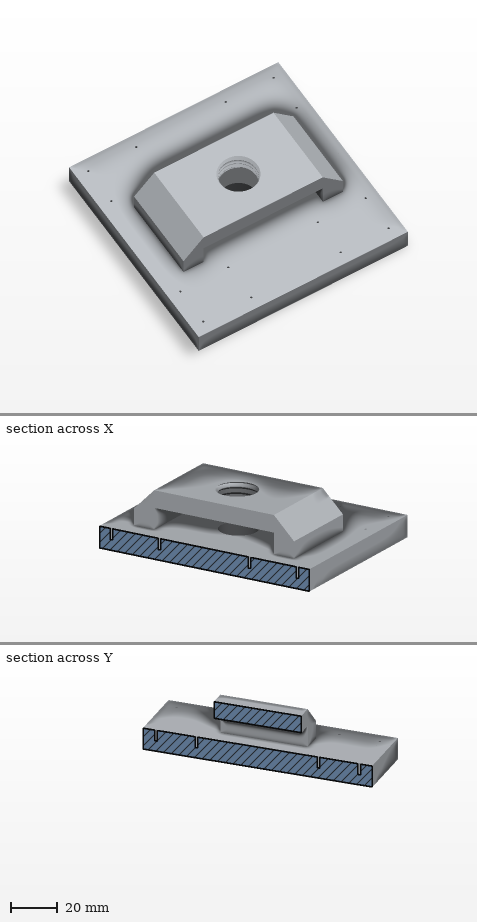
import cadquery as cq

plate_side = 105.0
plate_thickness = 10.1

total_height = 28.0
bridge_width = 40.0
bridge_length = 80.0
leg_thickness = 10.0
opening_height = 10.0
bridge_chamfer = 10.1
opening_length = bridge_length - 2 * leg_thickness
bridge_underside = plate_thickness + opening_height

core_diameter = 17.5
thread_diameter = 20.3
thread_pitch = 2.5
groove_width = 2.3
thread_start_angle = 150.0

pin_diameter = 1.0
pin_depth = 5.0
pin_x_offsets = (27.9, 46.5)
pin_y_offsets = (22.5, 46.5)


def make_plate():
    return cq.Workplane("XY").box(
        plate_side, plate_side, plate_thickness, centered=(True, True, False)
    )


def make_bridge():
    half_length = bridge_length / 2
    half_opening = opening_length / 2
    shoulder_height = total_height - bridge_chamfer
    outline = [
        (-half_length, plate_thickness),
        (-half_length, shoulder_height),
        (-half_length + bridge_chamfer, total_height),
        (half_length - bridge_chamfer, total_height),
        (half_length, shoulder_height),
        (half_length, plate_thickness),
        (half_opening, plate_thickness),
        (half_opening, bridge_underside),
        (-half_opening, bridge_underside),
        (-half_opening, plate_thickness),
    ]
    return cq.Workplane("YZ").polyline(outline).close().extrude(bridge_width / 2, both=True)


def make_pin_holes():
    points = [
        (x_sign * x, y_sign * y)
        for x in pin_x_offsets
        for y in pin_y_offsets
        for x_sign in (-1, 1)
        for y_sign in (-1, 1)
    ]
    return (
        cq.Workplane("XY", origin=(0, 0, plate_thickness))
        .pushPoints(points)
        .circle(pin_diameter / 2)
        .extrude(-pin_depth)
    )


def make_thread_groove():
    """V-shaped helical groove that runs out past both faces of the bridge top."""
    core_radius = core_diameter / 2
    thread_radius = thread_diameter / 2
    overlap = 0.1
    thread_depth = thread_radius - core_radius
    half_mouth = groove_width / 2 * (thread_depth + overlap) / thread_depth
    turns_to_span = int((total_height - bridge_underside) / thread_pitch) + 3
    turns_below_top = turns_to_span - 1
    start_height = total_height - turns_below_top * thread_pitch
    helix = cq.Wire.makeHelix(thread_pitch, turns_to_span * thread_pitch, core_radius)
    groove = (
        cq.Workplane("XZ")
        .moveTo(core_radius - overlap, -half_mouth)
        .lineTo(thread_radius, 0)
        .lineTo(core_radius - overlap, half_mouth)
        .close()
        .sweep(cq.Workplane(helix), isFrenet=True)
    )
    return groove.rotate((0, 0, 0), (0, 0, 1), thread_start_angle).translate((0, 0, start_height))


central_hole = cq.Workplane("XY").circle(core_diameter / 2).extrude(total_height)

result = (
    make_plate()
    .union(make_bridge())
    .cut(make_pin_holes())
    .cut(make_thread_groove())
    .cut(central_hole)
)